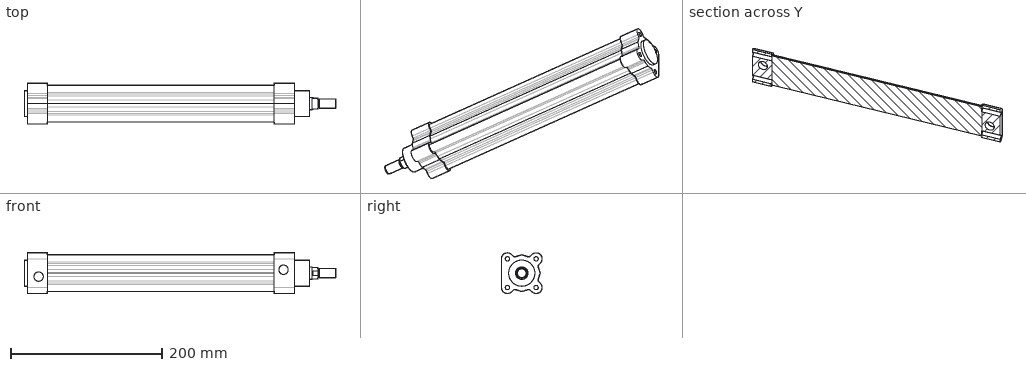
import cadquery as cq
import math

overall_length = 413.0
cap_width = 54.0
bolt_offset = 19.0

rear_cap_start = 4.0
rear_cap_end = 30.5
front_cap_start = 331.0
front_cap_end = 358.0
front_collar_end = 378.0
shoulder_end = 380.8
flats_start = 382.0
flats_end = 388.5
thread_start = 389.5

cap_body_radius = 23.5
cap_ridge_half = 6.5
cap_fillet = 2.5
collar_radius = 17.5
bolt_hole_radius = 3.0

port_radius = 6.0
port_depth = 12.5
port_rise = 4.5
rear_port_x = 19.0
front_port_x = 343.0

barrel_body_radius = 22.7
barrel_width = 49.0
barrel_ridge_half = 4.5
barrel_fillet = 2.5

shoulder_radius = 8.3
rod_radius = 8.0
flats_width = 14.5
thread_radius = 6.0
thread_chamfer_length = 1.2
thread_chamfer_depth = 0.5

half_width = cap_width / 2
cap_lobe_radius = half_width - bolt_offset
barrel_lobe_radius = barrel_width / 2 - bolt_offset
neck_radius = thread_radius - thread_chamfer_depth
bolt_points = [(y, z) for y in (-bolt_offset, bolt_offset) for z in (-bolt_offset, bolt_offset)]


def section_plane(x):
    """Plane across the axis at x; its local axes are Y and Z and its normal is +X."""
    return cq.Workplane("YZ", origin=(x, 0, 0))


def disc(x_start, x_end, radius):
    """Round bar on the axis."""
    return section_plane(x_start).circle(radius).extrude(x_end - x_start)


def tapered_bar(x_start, x_end, radius, taper_length, taper_depth):
    """Round bar on the axis with a long, shallow chamfer at both ends."""
    end_radius = radius - taper_depth
    half_profile = [
        (x_start, 0),
        (x_start, end_radius),
        (x_start + taper_length, radius),
        (x_end - taper_length, radius),
        (x_end, end_radius),
        (x_end, 0),
    ]
    return cq.Workplane("XY").polyline(half_profile).close().revolve(360, (0, 0, 0), (1, 0, 0))


def ridged_bar(x_start, x_end, radius, ridge_half):
    """Round bar with a low ridge on its four sides, each made of two planes tangent to the round."""
    tangent_angle = math.asin(ridge_half / radius)
    peak_radius = radius / math.cos(tangent_angle)

    def polar(distance, angle):
        return (distance * math.cos(angle), distance * math.sin(angle))

    outline = section_plane(x_start).moveTo(*polar(peak_radius, 0))
    for quarter in range(4):
        start = quarter * math.pi / 2
        end = start + math.pi / 2
        outline = (
            outline.lineTo(*polar(radius, start + tangent_angle))
            .threePointArc(polar(radius, (start + end) / 2), polar(radius, end - tangent_angle))
        )
        if quarter < 3:
            outline = outline.lineTo(*polar(peak_radius, end))
    return outline.close().extrude(x_end - x_start)


def lobed_bar(x_start, x_end, body_radius, ridge_half, lobe_radius, fillet_radius):
    """Ridged bar with four corner lobes on diagonal webs, with filleted hollows between."""
    length = x_end - x_start
    bar = ridged_bar(x_start, x_end, body_radius, ridge_half)
    web_length = 2 * math.hypot(bolt_offset, bolt_offset)
    for angle in (45, 135):
        web = (
            section_plane(x_start)
            .transformed(rotate=(0, 0, angle))
            .slot2D(web_length + 2 * lobe_radius, 2 * lobe_radius)
            .extrude(length)
        )
        bar = bar.union(web)

    half_angle = math.asin(lobe_radius / body_radius)
    y_hollow = body_radius * math.sin(math.pi / 4 - half_angle)
    z_hollow = body_radius * math.cos(math.pi / 4 - half_angle)
    x_middle = (x_start + x_end) / 2
    reach = 0.5
    for a, b in ((y_hollow, z_hollow), (z_hollow, y_hollow)):
        for y_sign in (-1, 1):
            for z_sign in (-1, 1):
                y, z = y_sign * a, z_sign * b
                hollow = cq.selectors.BoxSelector(
                    (x_middle - reach, y - reach, z - reach),
                    (x_middle + reach, y + reach, z + reach),
                )
                bar = bar.edges(hollow).fillet(fillet_radius)
    return bar


def end_cap(x_start, x_end, port_x, port_z):
    """Lobed cap with a flat -Y side, four bolt holes and an air port in the flat side."""
    length = x_end - x_start
    cap = lobed_bar(
        x_start, x_end, cap_body_radius, cap_ridge_half, cap_lobe_radius, cap_fillet
    )
    flat_side = (
        section_plane(x_start)
        .center(-bolt_offset, 0)
        .rect(2 * cap_lobe_radius, 2 * bolt_offset)
        .extrude(length)
    )
    bolt_holes = section_plane(x_start).pushPoints(bolt_points).circle(bolt_hole_radius).extrude(length)
    port = (
        cq.Workplane("XZ", origin=(port_x, -half_width, port_z))
        .circle(port_radius)
        .extrude(-port_depth)
    )
    return cap.union(flat_side).cut(bolt_holes).cut(port)


def make_rear_cap():
    collar = disc(0, rear_cap_start, collar_radius)
    return end_cap(rear_cap_start, rear_cap_end, rear_port_x, -port_rise).union(collar)


def make_front_cap():
    collar = disc(front_cap_end, front_collar_end, collar_radius)
    rod_bore = disc(front_cap_start, front_collar_end, rod_radius)
    cap = end_cap(front_cap_start, front_cap_end, front_port_x, port_rise)
    return cap.union(collar).cut(rod_bore)


def make_barrel():
    return lobed_bar(
        rear_cap_end,
        front_cap_start,
        barrel_body_radius,
        barrel_ridge_half,
        barrel_lobe_radius,
        barrel_fillet,
    )


def make_piston_rod():
    shank = disc(front_cap_start, flats_end, rod_radius)
    shoulder = disc(front_collar_end, shoulder_end, shoulder_radius)
    flats_length = flats_end - flats_start
    flats_cut = (
        section_plane(flats_start)
        .rect(2 * cap_width, 2 * cap_width)
        .rect(flats_width, 2 * cap_width)
        .extrude(flats_length)
    )
    neck = disc(flats_end, thread_start, neck_radius)
    thread = tapered_bar(
        thread_start, overall_length, thread_radius, thread_chamfer_length, thread_chamfer_depth
    )
    return shank.cut(flats_cut).union(shoulder).union(neck).union(thread)


rear_cap = make_rear_cap()
barrel = make_barrel()
front_cap = make_front_cap()
piston_rod = make_piston_rod()

result = cq.Compound.makeCompound(
    [rear_cap.val(), barrel.val(), front_cap.val(), piston_rod.val()]
)